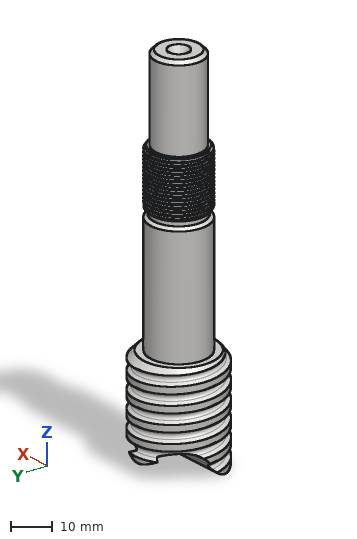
import cadquery as cq
import math

TOTAL_HEIGHT = 108.8
SCREW_HEIGHT = 30.0
COLLAR_TOP = 64.9
NECK_TOP = 67.2
THREAD_TOP = 83.8

JOURNAL_RADIUS = 14.0 / 2
SHAFT_RADIUS = 17.0 / 2
NECK_RADIUS = 14.9 / 2
NECK_CONE_HEIGHT = 0.9
TIP_CHAMFER = 1.1
THREAD_CHAMFER = 0.8

CENTRE_MOUTH_RADIUS = 5.9 / 2
CENTRE_HOLE_RADIUS = 3.2 / 2
CENTRE_CONE_ANGLE = 60.0
DRILL_POINT_ANGLE = 120.0
CENTRE_HOLE_DEPTH = 5.4

FLANK_ANGLE = 30.0

FINE_PITCH = 1.0
FINE_DEPTH = 0.7
FINE_ROOT_RADIUS = 0.1
FINE_GROOVE_START = 65.6

SCREW_RADIUS = 25.0 / 2
SCREW_PITCH = 5.0
SCREW_DEPTH = 1.6
SCREW_ROOT_RADIUS = 1.0
SCREW_TOP_CHAMFER = 2.0
SCREW_GROOVE_START = -7.0
WAVE_HEIGHT = 7.6

CLEARANCE = 0.5


def helical_groove(outer_radius, depth, pitch, root_round, start, end):
    """Right-hand groove cutter whose middle starts on the -X side."""
    flank_angle = math.radians(FLANK_ANGLE)
    flank_slope = math.tan(flank_angle)
    root_radius = outer_radius - depth
    tangent_radius = root_radius + root_round * (1 - math.sin(flank_angle))
    tangent_half = root_round * math.cos(flank_angle)
    mouth_half = tangent_half + (outer_radius - tangent_radius) * flank_slope
    half_crest = pitch / 2 - mouth_half
    reach = min(CLEARANCE, half_crest / 2 / flank_slope)
    cutter_radius = outer_radius + reach
    cutter_half = mouth_half + reach * flank_slope
    profile = (
        cq.Workplane("XZ")
        .moveTo(tangent_radius, -tangent_half)
        .lineTo(cutter_radius, -cutter_half)
        .lineTo(cutter_radius, cutter_half)
        .lineTo(tangent_radius, tangent_half)
        .threePointArc((root_radius, 0), (tangent_radius, -tangent_half))
        .close()
    )
    helix = cq.Wire.makeHelix(pitch, end - start, root_radius)
    groove = profile.sweep(cq.Workplane(helix), isFrenet=True)
    return groove.rotate((0, 0, 0), (0, 0, 1), 180).translate((0, 0, start))


def threaded_bar(radius, depth, pitch, root_round, start, end):
    """Bar with a helical groove; the plain ends beyond the groove are to be trimmed off."""
    bar_start = start - 2 * pitch
    bar_length = end + 2 * pitch - bar_start
    bar = cq.Workplane("XY").workplane(offset=bar_start).circle(radius).extrude(bar_length)
    return bar.cut(helical_groove(radius, depth, pitch, root_round, start, end))


def revolve_about_z(profile):
    return cq.Workplane("XZ").polyline(profile).close().revolve(360, (0, 0), (0, 1))


def make_lower_shaft():
    profile = [
        (0, SCREW_HEIGHT),
        (SHAFT_RADIUS, SCREW_HEIGHT),
        (SHAFT_RADIUS, COLLAR_TOP),
        (NECK_RADIUS, COLLAR_TOP + NECK_CONE_HEIGHT),
        (NECK_RADIUS, NECK_TOP),
        (0, NECK_TOP),
    ]
    return revolve_about_z(profile)


def make_fine_thread():
    thread = threaded_bar(
        SHAFT_RADIUS, FINE_DEPTH, FINE_PITCH, FINE_ROOT_RADIUS,
        FINE_GROOVE_START, THREAD_TOP + FINE_PITCH,
    )
    envelope = (
        cq.Workplane("XY")
        .workplane(offset=NECK_TOP)
        .circle(SHAFT_RADIUS)
        .extrude(THREAD_TOP - NECK_TOP)
        .faces("<Z or >Z")
        .chamfer(THREAD_CHAMFER)
    )
    return thread.intersect(envelope)


def make_journal():
    return (
        cq.Workplane("XY")
        .workplane(offset=THREAD_TOP)
        .circle(JOURNAL_RADIUS)
        .extrude(TOTAL_HEIGHT - THREAD_TOP)
        .faces(">Z")
        .chamfer(TIP_CHAMFER)
    )


def make_centre_hole():
    cone_depth = (CENTRE_MOUTH_RADIUS - CENTRE_HOLE_RADIUS) / math.tan(math.radians(CENTRE_CONE_ANGLE / 2))
    point_depth = CENTRE_HOLE_RADIUS / math.tan(math.radians(DRILL_POINT_ANGLE / 2))
    hole_bottom = TOTAL_HEIGHT - CENTRE_HOLE_DEPTH
    profile = [
        (0, TOTAL_HEIGHT),
        (CENTRE_MOUTH_RADIUS, TOTAL_HEIGHT),
        (CENTRE_HOLE_RADIUS, TOTAL_HEIGHT - cone_depth),
        (CENTRE_HOLE_RADIUS, hole_bottom),
        (0, hole_bottom - point_depth),
    ]
    return revolve_about_z(profile)


def make_shaft():
    journal = make_journal().cut(make_centre_hole())
    return make_lower_shaft().union(make_fine_thread()).union(journal)


def make_end_wave():
    """Material to remove below an S-shaped end face: hollow on +Y, rounded lobe on -Y."""
    quarter = SCREW_RADIUS / 2
    middle = WAVE_HEIGHT / 2
    below = -SCREW_PITCH
    wave = (
        cq.Workplane("YZ")
        .moveTo(-SCREW_RADIUS, middle)
        .threePointArc((-quarter, 0), (0, middle))
        .threePointArc((quarter, WAVE_HEIGHT), (SCREW_RADIUS, middle))
        .lineTo(SCREW_RADIUS + CLEARANCE, middle)
        .lineTo(SCREW_RADIUS + CLEARANCE, below)
        .lineTo(-SCREW_RADIUS - CLEARANCE, below)
        .lineTo(-SCREW_RADIUS - CLEARANCE, middle)
        .close()
    )
    return wave.extrude(SCREW_RADIUS + CLEARANCE, both=True)


def make_screw():
    thread = threaded_bar(
        SCREW_RADIUS, SCREW_DEPTH, SCREW_PITCH, SCREW_ROOT_RADIUS,
        SCREW_GROOVE_START, SCREW_HEIGHT + SCREW_PITCH,
    )
    envelope = cq.Workplane("XY").circle(SCREW_RADIUS).extrude(SCREW_HEIGHT)
    envelope = envelope.faces(">Z").chamfer(SCREW_TOP_CHAMFER)
    return thread.intersect(envelope).cut(make_end_wave())


shaft = make_shaft()
screw = make_screw()

result = cq.Compound.makeCompound([shaft.solids().val(), screw.solids().val()])